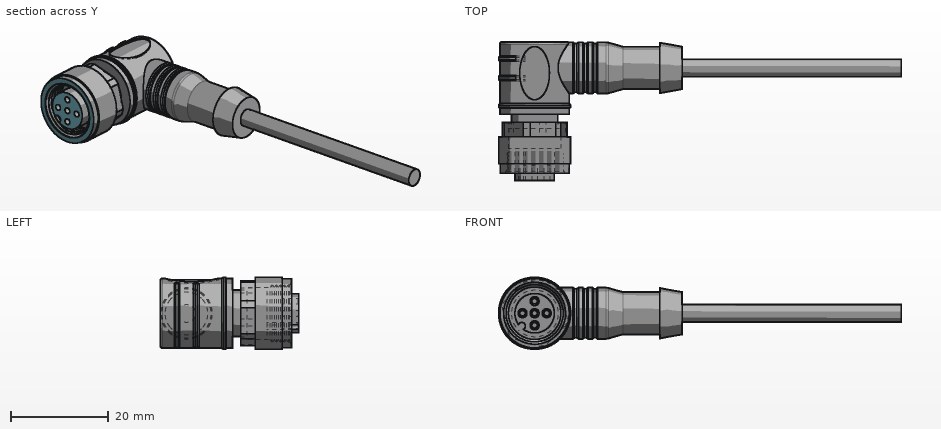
import cadquery as cq
import math


BARREL_R = 14.3 / 2
BARREL_BACK_Y = 5.4
BARREL_FRONT_Y = -9.5
BARREL_BACK_ROUND = 0.5
RING_R = 14.8 / 2
RING_BACK_Y = -7.3
RING_FRONT_Y = -8.3
RING_BACK_SLOPE = 0.4
RING_FRONT_SLOPE = 0.2

RIB_Y = (1.9, -2.1)
RIB_WIDTH = 1.2
RIB_CREST = 0.5
RIB_TOP_END_X = -3.9
RIB_BOTTOM_END_X = -2.1

LABEL_Y = -1.1
LABEL_HALF_WIDTH = 3.1
LABEL_HALF_LENGTH = 5.5
LABEL_DEPTH = 0.25

ARM_R = 5.3
ARM_CONE_START_X = 14.9
ARM_CONE_END_X = 18.1
ARM_CONE_ROUND = 1.9
ARM_NECK_R = 4.4
FLARE_START_X = 25.75
FLARE_END_X = 30.3
FLARE_R = 5.2
GROOVE_X = 8.45
GROOVE_PITCH = 2.0
GROOVE_COUNT = 3
GROOVE_WIDTH = 1.2
GROOVE_FLOOR = 0.5
GROOVE_DEPTH = 0.25
CABLE_R = 1.8
OVERALL_LENGTH = 82.8
CABLE_END_X = OVERALL_LENGTH - RING_R

NECK_R = 4.8
INSERT_R = 4.05
INSERT_FRONT_Y = -23.2
FLANGE_BACK_Y = -12.4
FLANGE_FRONT_Y = -16.6
OUTER_CONTACTS = 4
CONTACT_PITCH = 2.5
CONTACT_MOUTH_R = 0.9
CONTACT_R = 0.6
CONTACT_MOUTH_DEPTH = 0.25
CONTACT_DEPTH = 3.3
KEY_R = 0.75
KEY_OFFSET = 3.7
KEY_ANGLE = 225

NUT_R = RING_R
NUT_BACK_Y = -11.2
HEX_FRONT_Y = -14.2
NUT_STEP_Y = -19.7
NUT_FRONT_Y = -21.7
NUT_LIP_R = 7.1
HEX_SIDES = 6
HEX_CORNER_R = 6.8
HEX_FLAT_DISTANCE = 6.2
HEX_TURN = 14
NUT_MOUTH_R = 6.4
NUT_BORE_R = 5.4
THREAD_ROOT_R = 5.9
THREAD_PITCH = 0.8
THREAD_COUNT = 5
THREAD_INSET = 0.75
THREAD_START_Y = NUT_FRONT_Y + THREAD_INSET


def turned_about_y(points):
    """Revolve a (radius, y) outline about the Y axis."""
    return cq.Workplane("XY").polyline(points).close().revolve(360, (0, 0), (0, 1))


def turned_about_x(points):
    """Revolve an (x, radius) outline about the X axis."""
    return cq.Workplane("XY").polyline(points).close().revolve(360, (0, 0), (1, 0))


def rod_along_y(radius, start_y, end_y, x=0, z=0):
    """Round rod running towards -Y from start_y to end_y."""
    return cq.Workplane("XZ", origin=(x, start_y, z)).circle(radius).extrude(start_y - end_y)


def barrel():
    """Round-backed housing barrel with the raised ring near its front."""
    body = rod_along_y(BARREL_R, BARREL_BACK_Y, BARREL_FRONT_Y)
    body = body.faces(">Y").edges().fillet(BARREL_BACK_ROUND)
    ring = turned_about_y([
        (0, RING_BACK_Y),
        (BARREL_R, RING_BACK_Y),
        (RING_R, RING_BACK_Y - RING_BACK_SLOPE),
        (RING_R, RING_FRONT_Y + RING_FRONT_SLOPE),
        (BARREL_R, RING_FRONT_Y),
        (0, RING_FRONT_Y),
    ])
    return body.union(ring)


def grip_rib(y):
    """Trapezoid rib wrapped round the -X side, ending on a flat at each end."""
    rib = turned_about_y([
        (0, y + RIB_WIDTH / 2),
        (BARREL_R, y + RIB_WIDTH / 2),
        (RING_R, y + RIB_CREST / 2),
        (RING_R, y - RIB_CREST / 2),
        (BARREL_R, y - RIB_WIDTH / 2),
        (0, y - RIB_WIDTH / 2),
    ])
    reach = 2 * RING_R
    trim = cq.Workplane("XY").box(reach, RIB_WIDTH, reach, centered=(False, True, False))
    upper = trim.translate((RIB_TOP_END_X, y, 0))
    lower = trim.translate((RIB_BOTTOM_END_X, y, -reach))
    return rib.cut(upper).cut(lower)


def label_recess():
    """Oval patch of the barrel skin, LABEL_DEPTH thick."""
    oval = (
        cq.Workplane("XY", origin=(0, LABEL_Y, 0))
        .ellipse(LABEL_HALF_WIDTH, LABEL_HALF_LENGTH)
        .extrude(2 * BARREL_R)
    )
    return oval.cut(rod_along_y(BARREL_R - LABEL_DEPTH, BARREL_BACK_Y, BARREL_FRONT_Y))


def arm():
    """Grooved arm that tapers to a neck and ends in a flare."""
    body = turned_about_x([
        (0, 0),
        (0, ARM_R),
        (ARM_CONE_START_X, ARM_R),
        (ARM_CONE_END_X, ARM_NECK_R),
        (FLARE_START_X, ARM_NECK_R),
        (FLARE_START_X, FLARE_R),
        (FLARE_END_X, ARM_NECK_R),
        (FLARE_END_X, 0),
    ])
    cone_edge = cq.selectors.NearestToPointSelector((ARM_CONE_START_X, 0, 0))
    body = body.edges(cone_edge).fillet(ARM_CONE_ROUND)
    for i in range(GROOVE_COUNT):
        body = body.cut(arm_groove(GROOVE_X + i * GROOVE_PITCH))
    return body


def arm_groove(x):
    """Ring with a trapezoid section that narrows towards the arm axis."""
    floor_r = ARM_R - GROOVE_DEPTH
    return turned_about_x([
        (x - GROOVE_WIDTH / 2, ARM_R),
        (x - GROOVE_FLOOR / 2, floor_r),
        (x + GROOVE_FLOOR / 2, floor_r),
        (x + GROOVE_WIDTH / 2, ARM_R),
    ])


def cable():
    """Round cable, starting at the socket axis inside the arm."""
    return cq.Workplane("YZ").circle(CABLE_R).extrude(CABLE_END_X)


def contact_hole(x, z):
    """Blind contact hole with a countersunk mouth."""
    mouth_y = INSERT_FRONT_Y
    throat_y = mouth_y + CONTACT_MOUTH_DEPTH
    end_y = mouth_y + CONTACT_DEPTH
    hole = turned_about_y([
        (0, mouth_y),
        (CONTACT_MOUTH_R, mouth_y),
        (CONTACT_R, throat_y),
        (CONTACT_R, end_y),
        (0, end_y),
    ])
    return hole.translate((x, 0, z))


def insert():
    """Neck, retaining flange and socket face with its contact holes and key groove."""
    body = rod_along_y(NECK_R, BARREL_FRONT_Y, FLANGE_BACK_Y)
    body = body.union(rod_along_y(NUT_BORE_R, FLANGE_BACK_Y, FLANGE_FRONT_Y))
    body = body.union(rod_along_y(INSERT_R, FLANGE_FRONT_Y, INSERT_FRONT_Y))
    contacts = [(0, 0)]
    for turn in range(OUTER_CONTACTS):
        angle = math.radians(360 / OUTER_CONTACTS * turn)
        contacts.append((CONTACT_PITCH * math.cos(angle), CONTACT_PITCH * math.sin(angle)))
    for x, z in contacts:
        body = body.cut(contact_hole(x, z))
    key_x = KEY_OFFSET * math.cos(math.radians(KEY_ANGLE))
    key_z = KEY_OFFSET * math.sin(math.radians(KEY_ANGLE))
    return body.cut(rod_along_y(KEY_R, FLANGE_FRONT_Y, INSERT_FRONT_Y, key_x, key_z))


def connector():
    """Moulded elbow with its cable and socket insert, as one solid."""
    body = barrel()
    for y in RIB_Y:
        body = body.union(grip_rib(y))
    body = body.cut(label_recess())
    return body.union(arm()).union(cable()).union(insert())


def nut_hex():
    """Hexagon with its corners turned down to HEX_CORNER_R."""
    half_side_angle = 180 / HEX_SIDES
    corner_distance = HEX_FLAT_DISTANCE / math.cos(math.radians(half_side_angle))
    hexagon = (
        cq.Workplane("XZ", origin=(0, NUT_BACK_Y, 0))
        .polygon(HEX_SIDES, 2 * corner_distance)
        .extrude(NUT_BACK_Y - HEX_FRONT_Y)
        .rotate((0, 0, 0), (0, 1, 0), half_side_angle - HEX_TURN)
    )
    return hexagon.intersect(rod_along_y(HEX_CORNER_R, NUT_BACK_Y, HEX_FRONT_Y))


def nut_bore():
    """Neck hole, flange chamber, ringed thread and chamfered mouth."""
    outline = [
        (0, NUT_FRONT_Y),
        (NUT_MOUTH_R, NUT_FRONT_Y),
        (THREAD_ROOT_R, NUT_FRONT_Y + (NUT_MOUTH_R - THREAD_ROOT_R)),
    ]
    for i in range(THREAD_COUNT):
        root_y = THREAD_START_Y + i * THREAD_PITCH
        outline.append((THREAD_ROOT_R, root_y))
        outline.append((NUT_BORE_R, root_y + THREAD_PITCH / 2))
    outline += [
        (NUT_BORE_R, FLANGE_BACK_Y),
        (NECK_R, FLANGE_BACK_Y),
        (NECK_R, NUT_BACK_Y),
        (0, NUT_BACK_Y),
    ]
    return turned_about_y(outline)


def coupling_nut():
    """Nut that turns on the insert neck: hexagon, round grip and stepped lip."""
    body = nut_hex()
    body = body.union(rod_along_y(NUT_R, HEX_FRONT_Y, NUT_STEP_Y))
    body = body.union(rod_along_y(NUT_LIP_R, NUT_STEP_Y, NUT_FRONT_Y))
    return body.cut(nut_bore())


elbow = connector()
nut = coupling_nut()
result = cq.Compound.makeCompound([elbow.val(), nut.val()])